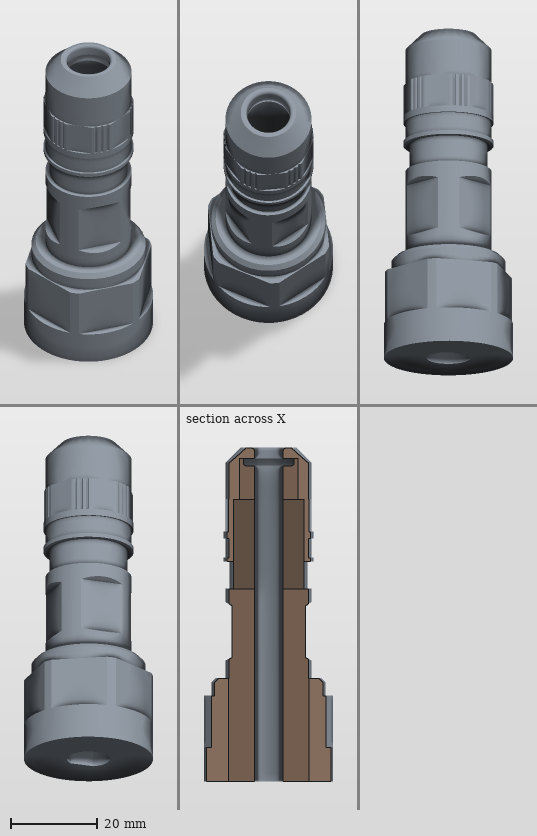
import cadquery as cq
import math


bore_radius = 5.0
barrel_radius = 10.0

nut_diameter = 30.0
nut_radius = nut_diameter / 2
hex_across_flats = 26.95
hex_sides = 6
hex_half_angle = 180 / hex_sides
hex_bottom = 8.05
hex_top = 20.0
collar_radius = 13.25
nut_top = 24.0
collar_chamfer = 1.0

housing_top = 44.8
wrench_bottom = 28.8
wrench_top = 40.8
wrench_flat_distance = 8.6
wrench_end_slope = 30
wrench_sides = 4
wrench_clearance = 0.8
key_flat_distance = 4.2

sleeve_radius = 9.1
sleeve_top = 65.5

cap_bottom = 51.05
cap_top = 77.45
cap_ring_radius = 10.45
lower_ring_top = 52.0
upper_ring_bottom = 56.4
grip_bottom = 57.95
grip_top = sleeve_top
cap_mouth_radius = 6.4
cap_cone_height = barrel_radius - cap_mouth_radius
mouth_fillet = 0.7

grip_sides = 6
grip_flat_distance = 10.0
groove_count = 3
groove_pitch_angle = 7.8
groove_width = 0.8
groove_floor_width = 0.3
groove_depth = 0.3

seal_radius = 7.75
seal_top = 74.9
seal_recess_radius = 7.0
seal_recess_depth = 1.7
seal_recess_fillet = 0.8


def cylinder(radius, bottom, top):
    return cq.Workplane("XY").workplane(offset=bottom).circle(radius).extrude(top - bottom)


def tube(outer_radius, inner_radius, bottom, top):
    return cylinder(outer_radius, bottom, top).cut(cylinder(inner_radius, bottom, top))


def make_nut():
    circumscribed_diameter = hex_across_flats / math.cos(math.radians(hex_half_angle))
    hex_prism = (
        cq.Workplane("XY")
        .workplane(offset=hex_bottom)
        .polygon(hex_sides, circumscribed_diameter)
        .extrude(hex_top - hex_bottom)
        .rotate((0, 0, 0), (0, 0, 1), hex_half_angle)
    )
    base = cylinder(nut_radius, 0, hex_bottom)
    hexagon = cylinder(nut_radius, hex_bottom, hex_top).intersect(hex_prism)
    collar = cylinder(collar_radius, hex_top, nut_top).faces(">Z").chamfer(collar_chamfer)
    return base.union(hexagon).union(collar).cut(cylinder(barrel_radius, 0, nut_top))


def wrench_cutter():
    reach = barrel_radius + wrench_clearance - wrench_flat_distance
    end_rise = reach * math.tan(math.radians(wrench_end_slope))
    outline = [
        (-wrench_flat_distance, wrench_bottom),
        (-wrench_flat_distance, wrench_top),
        (-wrench_flat_distance - reach, wrench_top + end_rise),
        (-wrench_flat_distance - reach, wrench_bottom - end_rise),
    ]
    return cq.Workplane("YZ").polyline(outline).close().extrude(barrel_radius, both=True)


def make_housing():
    bore = cylinder(bore_radius, 0, housing_top)
    bore_limit = (
        cq.Workplane("XY")
        .box(4 * bore_radius, 2 * bore_radius, housing_top, centered=(True, False, False))
        .translate((0, -key_flat_distance, 0))
    )
    housing = cylinder(barrel_radius, 0, housing_top).cut(bore.intersect(bore_limit))
    for side in range(wrench_sides):
        housing = housing.cut(wrench_cutter().rotate((0, 0, 0), (0, 0, 1), side * 360 / wrench_sides))
    return housing


def make_sleeve():
    return tube(sleeve_radius, bore_radius, housing_top, sleeve_top)


def make_grip():
    height = grip_top - grip_bottom
    side_angle = 360 / grip_sides
    circumscribed_diameter = 2 * grip_flat_distance / math.cos(math.radians(side_angle / 2))
    prism = (
        cq.Workplane("XY")
        .workplane(offset=grip_bottom)
        .polygon(grip_sides, circumscribed_diameter)
        .extrude(height)
    )
    grip = cylinder(cap_ring_radius, grip_bottom, grip_top).intersect(prism)
    groove = (
        cq.Workplane("XY")
        .workplane(offset=grip_bottom)
        .polyline([
            (cap_ring_radius - groove_depth, groove_floor_width / 2),
            (cap_ring_radius, groove_width / 2),
            (cap_ring_radius + groove_depth, groove_width / 2),
            (cap_ring_radius + groove_depth, -groove_width / 2),
            (cap_ring_radius, -groove_width / 2),
            (cap_ring_radius - groove_depth, -groove_floor_width / 2),
        ])
        .close()
        .extrude(height)
    )
    for corner in range(grip_sides):
        for index in range(groove_count):
            angle = corner * side_angle + (index - (groove_count - 1) / 2) * groove_pitch_angle
            grip = grip.cut(groove.rotate((0, 0, 0), (0, 0, 1), angle))
    return grip


def make_cap():
    cap = cylinder(barrel_radius, cap_bottom, cap_top).faces(">Z").chamfer(cap_cone_height)
    cap = cap.union(cylinder(cap_ring_radius, cap_bottom, lower_ring_top))
    cap = cap.union(cylinder(cap_ring_radius, upper_ring_bottom, grip_bottom))
    cap = cap.union(make_grip())
    cap = cap.cut(cylinder(bore_radius, cap_bottom, cap_top))
    cap = cap.faces(">Z").edges("%CIRCLE").edges(cq.selectors.RadiusNthSelector(0)).fillet(mouth_fillet)
    cap = cap.cut(cylinder(sleeve_radius, cap_bottom, sleeve_top))
    return cap.cut(cylinder(seal_radius, sleeve_top, seal_top))


def make_seal():
    recess_floor = seal_top - seal_recess_depth
    recess = cylinder(seal_recess_radius, recess_floor, seal_top).faces("<Z").edges().fillet(seal_recess_fillet)
    return tube(seal_radius, bore_radius, sleeve_top, seal_top).cut(recess)


nut = make_nut()
housing = make_housing()
sleeve = make_sleeve()
cap = make_cap()
seal = make_seal()

result = cq.Compound.makeCompound([nut.val(), housing.val(), sleeve.val(), cap.val(), seal.val()])